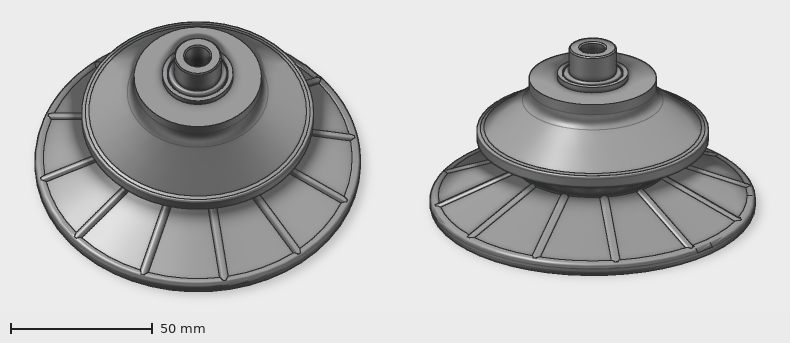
import cadquery as cq
import math

RIM_RADIUS = 57.5
RIM_ROUND = 2.1
RIM_HEIGHT = 5.3
SKIRT_OUTER_RADIUS = 54.5
NECK_RADIUS = 26.7
SKIRT_TOP = 16.8
NECK_TOP = 17.6
DISC_RADIUS = 40.9
DISC_BOTTOM = 26.8
DISC_TOP = 31.4
DISC_ROUND = 0.8
DISC_LIP_RADIUS = 39.7
CONE_RADIUS = 38.4
CONE_RISE = 0.2
BOSS_RADIUS = 45.0 / 2
BOSS_FILLET_TOP = 47.0
BOSS_TOP = 51.0
BOSS_FILLET = 6.0
CONE_ANGLE = 37.0

RIB_COUNT = 12
RIB_WIDTH = 3.1
RIB_HEIGHT = 0.8
RIB_OVERRUN = 1.5

WASHER_DIAMETER = 25.0
WASHER_BORE = 21.5
WASHER_THICKNESS = 2.1
SEAL_BEAD_RADIUS = 1.2
SEAL_BEAD_CENTER = 9.2
SEAL_LIFT = 0.7
WEB_DROP = 0.6

STEM_DIAMETER = 16.7
STEM_TOP = 62.8
STEM_CHAMFER = 0.5
STEM_BORE = 8.9
STEM_BORE_MOUTH = 9.9

WASHER_TOP = BOSS_TOP + WASHER_THICKNESS


def bead_drop(bead_radius, outer_radius, end_radius):
    """Drop from the crest of a rounded outer edge to the point where the round ends."""
    inset = outer_radius - bead_radius - end_radius
    return bead_radius - math.sqrt(bead_radius**2 - inset**2)


SKIRT_BOTTOM = RIM_HEIGHT - bead_drop(RIM_ROUND, RIM_RADIUS, SKIRT_OUTER_RADIUS)


def on_arc(center, radius, degrees):
    """Point of a circle in the profile plane, measured from the outward radial direction."""
    angle = math.radians(degrees)
    return (center[0] + radius * math.cos(angle), center[1] + radius * math.sin(angle))


def make_cup_body():
    rim_lower = (RIM_RADIUS - RIM_ROUND, RIM_ROUND)
    rim_upper = (RIM_RADIUS - RIM_ROUND, RIM_HEIGHT - RIM_ROUND)
    disc_lower = (DISC_RADIUS - DISC_ROUND, DISC_BOTTOM + DISC_ROUND)
    disc_upper = (DISC_RADIUS - DISC_ROUND, DISC_TOP - DISC_ROUND)
    lip_drop = bead_drop(DISC_ROUND, DISC_RADIUS, DISC_LIP_RADIUS)
    fillet = (BOSS_RADIUS + BOSS_FILLET, BOSS_FILLET_TOP)
    fillet_end = 270 - CONE_ANGLE
    profile = (
        cq.Workplane("XZ")
        .lineTo(rim_lower[0], 0)
        .threePointArc(on_arc(rim_lower, RIM_ROUND, -45), on_arc(rim_lower, RIM_ROUND, 0))
        .lineTo(*on_arc(rim_upper, RIM_ROUND, 0))
        .threePointArc(on_arc(rim_upper, RIM_ROUND, 45), (SKIRT_OUTER_RADIUS, SKIRT_BOTTOM))
        .lineTo(NECK_RADIUS, SKIRT_TOP)
        .lineTo(NECK_RADIUS, NECK_TOP)
        .lineTo(CONE_RADIUS, DISC_BOTTOM - CONE_RISE)
        .lineTo(DISC_LIP_RADIUS, DISC_BOTTOM + lip_drop)
        .threePointArc(on_arc(disc_lower, DISC_ROUND, -45), on_arc(disc_lower, DISC_ROUND, 0))
        .lineTo(*on_arc(disc_upper, DISC_ROUND, 0))
        .threePointArc(on_arc(disc_upper, DISC_ROUND, 45), (DISC_LIP_RADIUS, DISC_TOP - lip_drop))
        .lineTo(CONE_RADIUS, DISC_TOP + CONE_RISE)
        .lineTo(*on_arc(fillet, BOSS_FILLET, fillet_end))
        .threePointArc(
            on_arc(fillet, BOSS_FILLET, (180 + fillet_end) / 2),
            on_arc(fillet, BOSS_FILLET, 180),
        )
        .lineTo(BOSS_RADIUS, BOSS_TOP)
        .lineTo(0, BOSS_TOP)
        .close()
    )
    return profile.revolve(360, (0, 0, 0), (0, 1, 0))


def make_rib():
    """Round bar sunk into the skirt along +X, so that only a low crown shows."""
    bar_radius = ((RIB_WIDTH / 2) ** 2 + RIB_HEIGHT**2) / (2 * RIB_HEIGHT)
    sunk = bar_radius - RIB_HEIGHT
    run = SKIRT_OUTER_RADIUS - NECK_RADIUS
    drop = SKIRT_TOP - SKIRT_BOTTOM
    length = math.hypot(run, drop)
    along = cq.Vector(run / length, 0, -drop / length)
    normal = cq.Vector(drop / length, 0, run / length)
    start = cq.Vector(NECK_RADIUS, 0, SKIRT_TOP) - normal * sunk
    bar = cq.Solid.makeCylinder(bar_radius, length + RIB_OVERRUN, start, along)
    return cq.Workplane(obj=bar)


def make_cup():
    cup = make_cup_body()
    rib = make_rib()
    for index in range(RIB_COUNT):
        cup = cup.union(rib.rotate((0, 0, 0), (0, 0, 1), index * 360 / RIB_COUNT))
    return cup


def make_washer():
    return (
        cq.Workplane("XY", origin=(0, 0, BOSS_TOP))
        .circle(WASHER_DIAMETER / 2)
        .circle(WASHER_BORE / 2)
        .extrude(WASHER_THICKNESS)
    )


def make_seal():
    inner = STEM_DIAMETER / 2
    bead_z = WASHER_TOP + SEAL_LIFT - SEAL_BEAD_RADIUS
    web_top = WASHER_TOP - WEB_DROP
    bead_crest = (SEAL_BEAD_CENTER, WASHER_TOP + SEAL_LIFT)
    inner_top = bead_z + math.sqrt(SEAL_BEAD_RADIUS**2 - (SEAL_BEAD_CENTER - inner) ** 2)
    web_start = SEAL_BEAD_CENTER + math.sqrt(SEAL_BEAD_RADIUS**2 - (web_top - bead_z) ** 2)
    profile = (
        cq.Workplane("XZ")
        .moveTo(inner, BOSS_TOP)
        .lineTo(inner, inner_top)
        .threePointArc(bead_crest, (web_start, web_top))
        .lineTo(WASHER_BORE / 2, web_top)
        .lineTo(WASHER_BORE / 2, BOSS_TOP)
        .close()
    )
    return profile.revolve(360, (0, 0, 0), (0, 1, 0))


def make_stem():
    stem = (
        cq.Workplane("XY", origin=(0, 0, BOSS_TOP))
        .circle(STEM_DIAMETER / 2)
        .circle(STEM_BORE / 2)
        .extrude(STEM_TOP - BOSS_TOP)
    )
    stem = stem.faces(">Z").edges(cq.selectors.RadiusNthSelector(1)).chamfer(STEM_CHAMFER)
    mouth_chamfer = (STEM_BORE_MOUTH - STEM_BORE) / 2
    return stem.faces(">Z").edges(cq.selectors.RadiusNthSelector(0)).chamfer(mouth_chamfer)


cup = make_cup()
washer = make_washer()
seal = make_seal()
stem = make_stem()

result = cq.Compound.makeCompound([cup.val(), washer.val(), seal.val(), stem.val()])